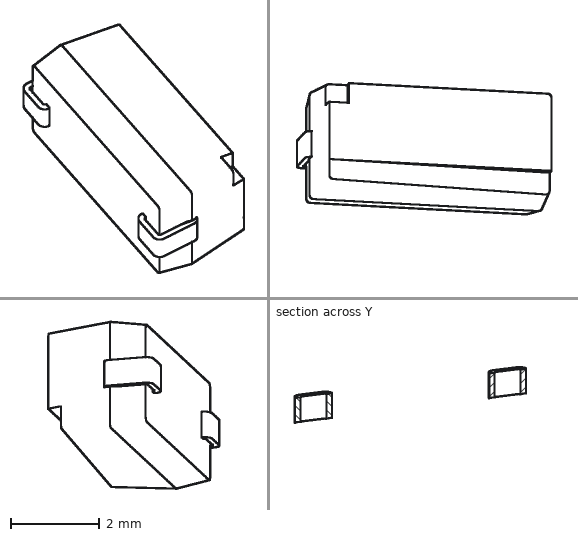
import cadquery as cq

length = 5.6
depth = 2.5
back_y = depth / 2
lead_front_y = -depth / 2

parting_y = -0.24
front_y = -1.05
housing_length = 5.4
housing_height = 2.5
back_inset = 0.125
front_inset = 0.105
corner_radius = 0.095

notch_width = 0.46
notch_depth = 0.3
notch_overrun = 0.28
wall_slant = 0.03

lead_width = 0.6
lead_thickness = 0.14
lead_foot = 0.9
inner_bend = 0.04
outer_bend = inner_bend + lead_thickness
prong_end_x = 2.465


def drafted_half(end_y, inset):
    """Frustum from the parting plane to end_y, with its four slanting edges rounded."""
    direction = 1 if end_y > parting_y else -1
    half = (
        cq.Workplane("XZ", origin=(0, parting_y, 0))
        .rect(housing_length, housing_height)
        .workplane(offset=-direction * abs(end_y - parting_y))
        .rect(housing_length - 2 * inset, housing_height - 2 * inset)
        .loft(ruled=True)
    )
    return half.edges("not(|X or |Z)").fillet(corner_radius)


def notch_cutter(plane, face_half_size, cut_start, cut_length):
    """Edge notch that widens slightly toward its floor, extruded along the plane normal."""
    wall = face_half_size - notch_width
    outside = face_half_size + notch_overrun
    floor_y = back_y - notch_depth
    profile = [
        (wall - wall_slant, floor_y),
        (outside, floor_y),
        (outside, back_y),
        (wall, back_y),
    ]
    return (
        cq.Workplane(plane)
        .workplane(offset=cut_start)
        .polyline(profile)
        .close()
        .extrude(cut_length)
    )


def make_lead(side):
    """Strip that leaves the housing at its end, runs forward and hooks under the front face."""
    outer_x = length / 2
    inner_x = outer_x - lead_thickness
    tip_x = outer_x - lead_foot
    foot_back_y = lead_front_y + lead_thickness
    prong_back_y = parting_y + lead_thickness

    def bend(center_x, center_y, radius, toward_x):
        """Midpoint of a quarter bend that bulges toward the front."""
        reach = radius * 0.5 ** 0.5
        return (center_x + toward_x * reach, center_y - reach)

    center_y = lead_front_y + outer_bend
    heel_x = outer_x - outer_bend
    toe_x = tip_x + outer_bend
    prong_reach = lead_thickness * 0.5 ** 0.5
    lead = (
        cq.Workplane("XY")
        .moveTo(prong_end_x, prong_back_y)
        .lineTo(inner_x, prong_back_y)
        .threePointArc((inner_x + prong_reach, parting_y + prong_reach), (outer_x, parting_y))
        .lineTo(outer_x, center_y)
        .threePointArc(bend(heel_x, center_y, outer_bend, 1), (heel_x, lead_front_y))
        .lineTo(toe_x, lead_front_y)
        .threePointArc(bend(toe_x, center_y, outer_bend, -1), (tip_x, center_y))
        .lineTo(tip_x, front_y)
        .lineTo(tip_x + lead_thickness, front_y)
        .lineTo(tip_x + lead_thickness, center_y)
        .threePointArc(bend(toe_x, center_y, inner_bend, -1), (toe_x, foot_back_y))
        .lineTo(heel_x, foot_back_y)
        .threePointArc(bend(heel_x, center_y, inner_bend, 1), (inner_x, center_y))
        .lineTo(inner_x, parting_y)
        .lineTo(prong_end_x, parting_y)
        .close()
        .extrude(lead_width / 2, both=True)
    )
    return lead if side > 0 else lead.mirror("YZ")


leads = [make_lead(side) for side in (-1, 1)]

back_half_length = housing_length / 2 - back_inset
back_half_height = housing_height / 2 - back_inset
upper_notch = notch_cutter(
    "XY", back_half_length, back_half_height - notch_width, notch_width + notch_overrun
)

lower_notch_plane = cq.Plane(origin=(0, 0, 0), xDir=(0, 0, -1), normal=(1, 0, 0))
lower_notch_prism = notch_cutter(
    lower_notch_plane, back_half_height, -back_half_length, 2 * back_half_length
)
ramp = (
    cq.Workplane("XY")
    .polyline(
        [
            (-back_half_length, back_y),
            (-back_half_length, back_y - notch_depth),
            (back_half_length, back_y),
        ]
    )
    .close()
    .extrude(housing_height, both=True)
)
end_overrun = notch_cutter(
    lower_notch_plane, back_half_height, -back_half_length - notch_overrun, notch_overrun
)
lower_notch = lower_notch_prism.intersect(ramp).union(end_overrun)

back_housing = drafted_half(back_y, back_inset).cut(upper_notch).cut(lower_notch)
front_housing = drafted_half(front_y, front_inset)
for lead in leads:
    back_housing = back_housing.cut(lead)
    front_housing = front_housing.cut(lead)

result = cq.Compound.makeCompound(
    [back_housing.val(), front_housing.val(), *[lead.val() for lead in leads]]
)